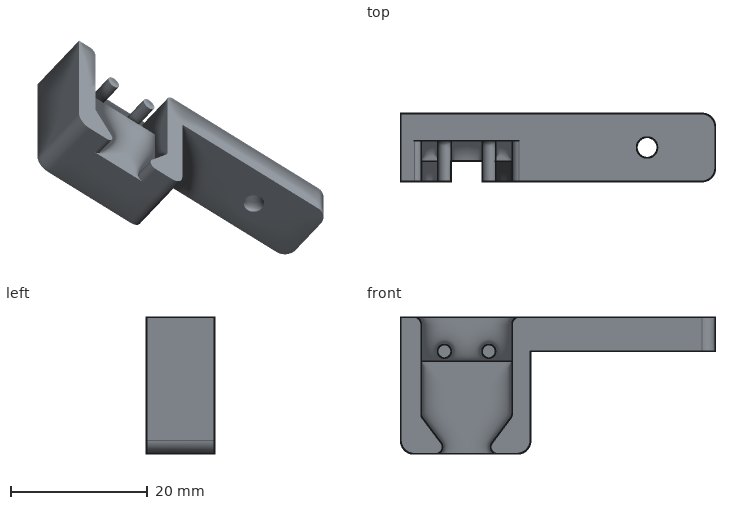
import cadquery as cq

length = 46.0
width = 10.0
height = 20.0

arm_thickness = 5.0
arm_end_radius = 2.0
hole_diameter = 3.0
hole_to_end = 10.0

body_length = 19.0
body_corner_radius = 2.0

left_wall = 3.0
pocket_width = 13.3
pocket_center_x = left_wall + pocket_width / 2
pocket_lower_depth = 3.0
pocket_upper_depth = 2 * pocket_lower_depth
ledge_below_top = 6.5
pocket_mouth_radius = 1.0

hook_reach = 4.15
hook_rise = 5.5
hook_radius = 1.0

pin_diameter = 2.0
pin_spacing = 6.5
pin_below_top = 5.0


def make_arm():
    arm = cq.Workplane("XY").box(length, width, arm_thickness, centered=False)
    arm = arm.translate((0, 0, height - arm_thickness))
    arm = arm.edges("|Z and >X").fillet(arm_end_radius)
    hole = (
        cq.Workplane("XY")
        .center(length - hole_to_end, width / 2)
        .circle(hole_diameter / 2)
        .extrude(height)
    )
    return arm.cut(hole)


def make_body():
    body = cq.Workplane("XY").box(body_length, width, height, centered=False)
    return body.edges("|Y and <Z").fillet(body_corner_radius)


def front_plane():
    """Sketch plane on the front face, centred on the pocket; local axes are X and Z."""
    return cq.Workplane("XZ", origin=(pocket_center_x, 0, 0))


def cut_pocket(part):
    half_width = pocket_width / 2
    half_gap = half_width - hook_reach
    right_side = [(half_gap, 0), (half_width, hook_rise), (half_width, height)]
    left_side = [(-x, z) for x, z in reversed(right_side)]
    lower_pocket = front_plane().polyline(right_side + left_side).close().extrude(-pocket_lower_depth)
    upper_pocket = (
        front_plane()
        .center(0, height - ledge_below_top / 2)
        .rect(pocket_width, ledge_below_top)
        .extrude(-pocket_upper_depth)
    )
    return part.cut(lower_pocket).cut(upper_pocket)


def round_pocket_edges(part):
    """Round the pocket edges parallel to Y: the mouth, then the hook tips and roots."""
    half_width = pocket_width / 2
    half_gap = half_width - hook_reach
    edge_groups = [
        (half_width, height, pocket_upper_depth, pocket_mouth_radius),
        (half_gap, 0, pocket_lower_depth, hook_radius),
        (half_width, hook_rise, pocket_lower_depth, hook_radius),
    ]
    for offset, z, depth, radius in edge_groups:
        for side in (-1, 1):
            edge_middle = (pocket_center_x + side * offset, depth / 2, z)
            part = part.edges(cq.NearestToPointSelector(edge_middle)).fillet(radius)
    return part


def make_pins():
    return (
        front_plane()
        .center(0, height - pin_below_top)
        .rarray(pin_spacing, 0.45, 2, 1)
        .circle(pin_diameter / 2)
        .extrude(-pocket_upper_depth)
    )


bracket = make_arm().union(make_body())
bracket = round_pocket_edges(cut_pocket(bracket))
result = bracket.union(make_pins())